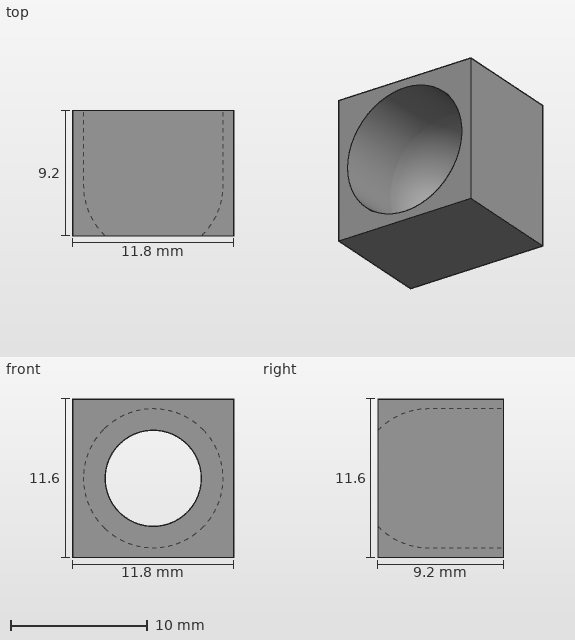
import cadquery as cq
import math

width = 11.8
depth = 9.2
height = 11.6

ball_diameter = 10.2
bore_depth = 5.5

ball_radius = ball_diameter / 2
front_y = -depth / 2
back_y = depth / 2
ball_centre_y = back_y - bore_depth

mouth_radius = math.sqrt(ball_radius**2 - (ball_centre_y - front_y) ** 2)

mouth_angle = math.asin(mouth_radius / ball_radius)
widest_angle = math.pi / 2
arc_mid_angle = (mouth_angle + widest_angle) / 2
arc_mid_radius = ball_radius * math.sin(arc_mid_angle)
arc_mid_y = ball_centre_y - ball_radius * math.cos(arc_mid_angle)


def make_block():
    return cq.Workplane("XY").box(width, depth, height)


def make_socket():
    """Ball surface from the mouth to its widest circle, then a tangent bore to the back face."""
    return (
        cq.Workplane("XY")
        .moveTo(0, front_y)
        .lineTo(mouth_radius, front_y)
        .threePointArc((arc_mid_radius, arc_mid_y), (ball_radius, ball_centre_y))
        .lineTo(ball_radius, back_y)
        .lineTo(0, back_y)
        .close()
        .revolve(360, (0, 0), (0, 1))
    )


result = make_block().cut(make_socket())